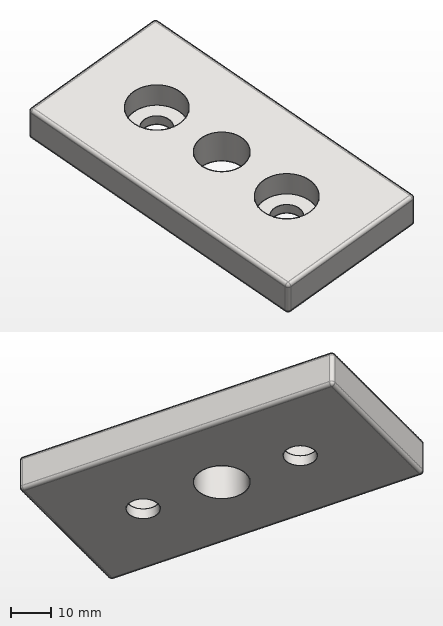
import cadquery as cq

length = 90.0
width = length / 2
thickness = 10.0
edge_radius = 1.0

center_hole_diameter = 14.0
screw_spacing = length / 2
screw_hole_diameter = 8.5
counterbore_diameter = 16.0
counterbore_depth = 7.0


def rounded_plate():
    """Plate centred on the origin, with every outer edge rounded."""
    return cq.Workplane("XY").box(length, width, thickness).edges().fillet(edge_radius)


def cut_center_hole(plate):
    return plate.faces(">Z").workplane().hole(center_hole_diameter)


def cut_screw_holes(plate):
    """Two through holes, counterbored from the top face."""
    return (
        plate.faces(">Z")
        .workplane()
        .pushPoints([(-screw_spacing / 2, 0), (screw_spacing / 2, 0)])
        .cboreHole(screw_hole_diameter, counterbore_diameter, counterbore_depth)
    )


result = cut_screw_holes(cut_center_hole(rounded_plate()))